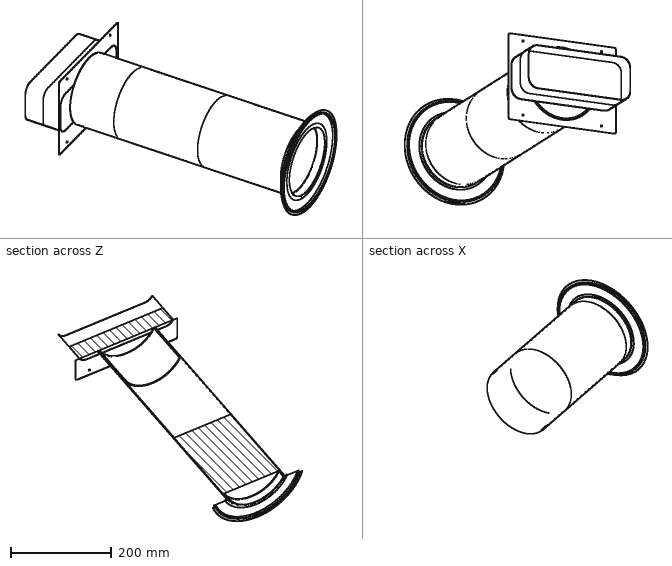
import cadquery as cq

TOTAL_LENGTH = 590.3

DUCT_LENGTH = 81.0
DUCT_WIDTH = 225.0
DUCT_HEIGHT = 91.0
DUCT_RADIUS = 21.0
DUCT_WALL = 1.0
PLATE_WIDTH = 237.0
PLATE_HEIGHT = 180.0
PLATE_THICKNESS = 1.0
PLATE_RADIUS = 4.0
HOLE_DIAMETER = 3.0
HOLE_SPACING_Y = 173.0
HOLE_SPACING_Z = 155.0
ADAPTER_SPIGOT_LENGTH = 100.0

BLOCK_LENGTH = DUCT_LENGTH / 2

PIPE_RADIUS = 76.0
PIPE_WALL = 1.8
PIPE_BORE_RADIUS = PIPE_RADIUS - PIPE_WALL

SPIGOT_WALL = 2.2
SPIGOT_BORE_RADIUS = PIPE_BORE_RADIUS - SPIGOT_WALL

PLUG_START = 375.0

FLANGE_RADIUS = 110.0
FLANGE_THICKNESS = 1.0
DISH_RADIUS = 105.0
DISH_DEPTH = 6.0
DISH_SKIN = 1.0
DISH_WALL = 3.0
DISH_BORE_RADIUS = DISH_RADIUS - DISH_WALL
COLLAR_RADIUS = 80.5
COLLAR_LENGTH = 1.5
FLANGE_SPIGOT_LENGTH = 16.5

TAB_WIDTH = 40.0
TAB_DEPTH = 2.2
TAB_REACH = 107.5

PLATE_BACK = DUCT_LENGTH + PLATE_THICKNESS
PIPE_END = TOTAL_LENGTH - DISH_DEPTH - COLLAR_LENGTH
FLANGE_SPIGOT_START = PIPE_END - FLANGE_SPIGOT_LENGTH


def section_at(x):
    """Workplane facing +X at distance x, with local axes along Y and Z."""
    return cq.Workplane("YZ", origin=(x, 0, 0))


def rounded_bar(x, length, width, height, radius):
    return section_at(x).rect(width, height).extrude(length).edges("|X").fillet(radius)


def tube(x, length, outer_radius, inner_radius):
    return section_at(x).circle(outer_radius).circle(inner_radius).extrude(length)


def duct_bore(x, length):
    """Solid that fills the inside of the duct over the given length."""
    return rounded_bar(x, length, DUCT_WIDTH - 2 * DUCT_WALL, DUCT_HEIGHT - 2 * DUCT_WALL,
                       DUCT_RADIUS - DUCT_WALL)


def make_adapter():
    plate = rounded_bar(DUCT_LENGTH, PLATE_THICKNESS, PLATE_WIDTH, PLATE_HEIGHT, PLATE_RADIUS)
    holes = (section_at(DUCT_LENGTH).rect(HOLE_SPACING_Y, HOLE_SPACING_Z, forConstruction=True)
             .vertices().circle(HOLE_DIAMETER / 2).extrude(PLATE_THICKNESS))
    duct = rounded_bar(0, DUCT_LENGTH, DUCT_WIDTH, DUCT_HEIGHT, DUCT_RADIUS)
    spigot = tube(PLATE_BACK, ADAPTER_SPIGOT_LENGTH, PIPE_BORE_RADIUS, SPIGOT_BORE_RADIUS)
    return plate.cut(holes).union(duct.cut(duct_bore(0, DUCT_LENGTH))).union(spigot)


def make_pipe():
    return tube(PLATE_BACK, PIPE_END - PLATE_BACK, PIPE_RADIUS, PIPE_BORE_RADIUS)


def make_flange():
    dish_front = TOTAL_LENGTH - DISH_DEPTH
    rim_front = TOTAL_LENGTH - FLANGE_THICKNESS
    ring = (
        cq.Workplane("XZ")
        .moveTo(FLANGE_SPIGOT_START, SPIGOT_BORE_RADIUS)
        .lineTo(FLANGE_SPIGOT_START, PIPE_BORE_RADIUS)
        .lineTo(PIPE_END, PIPE_BORE_RADIUS)
        .lineTo(PIPE_END, COLLAR_RADIUS)
        .lineTo(dish_front, COLLAR_RADIUS)
        .lineTo(dish_front, DISH_RADIUS)
        .lineTo(rim_front, DISH_RADIUS)
        .lineTo(rim_front, FLANGE_RADIUS)
        .lineTo(TOTAL_LENGTH, FLANGE_RADIUS)
        .lineTo(TOTAL_LENGTH, DISH_BORE_RADIUS)
        .lineTo(dish_front + DISH_SKIN, DISH_BORE_RADIUS)
        .lineTo(dish_front + DISH_SKIN, SPIGOT_BORE_RADIUS)
        .close()
        .revolve(360, (0, 0, 0), (1, 0, 0))
    )
    tab_height = TAB_REACH - DISH_BORE_RADIUS
    tab = cq.Workplane("XY").box(TAB_DEPTH, TAB_WIDTH, tab_height, centered=(False, True, False))
    tab = tab.translate((rim_front - TAB_DEPTH, 0, -TAB_REACH))
    dish_inside = section_at(dish_front).circle(DISH_BORE_RADIUS).extrude(DISH_DEPTH)
    return ring.union(tab.cut(dish_inside))


adapter = make_adapter()
block = duct_bore(DUCT_LENGTH - BLOCK_LENGTH, BLOCK_LENGTH)
pipe = make_pipe()
plug = section_at(PLUG_START).circle(PIPE_BORE_RADIUS).extrude(FLANGE_SPIGOT_START - PLUG_START)
flange = make_flange()

result = cq.Compound.makeCompound([
    adapter.val(),
    block.val(),
    pipe.val(),
    plug.val(),
    flange.val(),
])